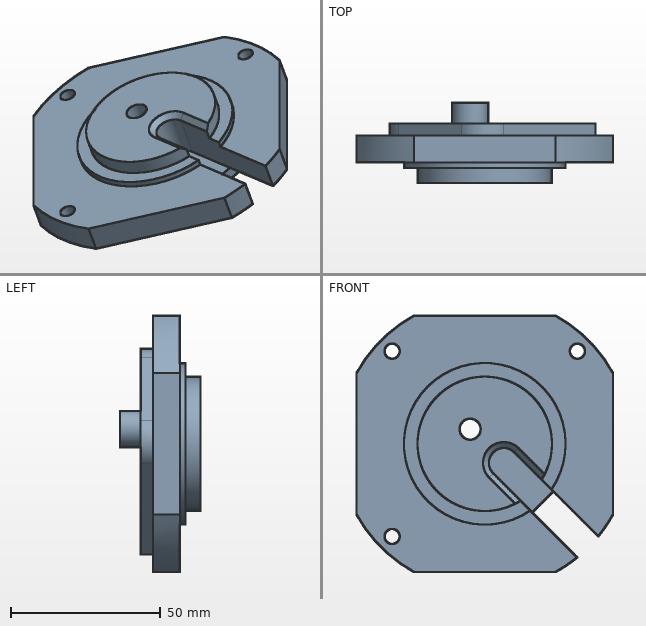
import cadquery as cq
import math

hub_height = 5.0
step_height = 2.0
plate_thickness = 9.0
block_thickness = 4.0
pin_length = 7.0

plate_side = 86
corner_radius = 49.1
screw_hole_diameter = 5.0
screw_hole_offset = 31.05

step_radius = 27.1
hub_radius = 22.5

slot_width = 10.0
slot_center = 9.0
slot_chamfer = 2.0
chamfer_angle = 45

block_width = 50.0
block_rear = 26.0
block_front = 27.5
block_fillet = 10.0

pin_diameter = 12.2
bore_diameter = 7.0
pin_offset = 4.9

hub_face = -(step_height + hub_height)
block_face = plate_thickness + block_thickness
pin_end = block_face + pin_length


def plane_at(y):
    """Work plane facing -Y: local x is X, local y is Z."""
    return cq.Workplane("XZ", origin=(0, y, 0))


def diagonal_plane_at(y):
    """Work plane facing -Y with local x along the slot."""
    half_root = math.sqrt(0.5)
    return cq.Workplane(cq.Plane((0, y, 0), (half_root, 0, -half_root), (0, -1, 0)))


def disc(radius, front, back, x=0, z=0):
    return plane_at(back).center(x, z).circle(radius).extrude(back - front)


def make_plate():
    square = plane_at(plate_thickness).rect(plate_side, plate_side).extrude(plate_thickness)
    return square.intersect(disc(corner_radius, 0, plate_thickness))


def make_slot():
    """Open, round-ended slot with a 45 degree chamfer at the hub face."""
    run_out = plate_side
    radius = slot_width / 2

    def prism(y, depth, taper=0):
        outline = (
            diagonal_plane_at(y)
            .moveTo(run_out, radius)
            .lineTo(slot_center, radius)
            .threePointArc((slot_center - radius, 0), (slot_center, -radius))
            .lineTo(run_out, -radius)
            .close()
        )
        return outline.extrude(depth, taper=taper)

    straight = prism(plate_thickness, plate_thickness - hub_face)
    chamfer = prism(hub_face + slot_chamfer, slot_chamfer, taper=-chamfer_angle)
    return straight.union(chamfer)


def make_block():
    """Rectangle whose two corners away from the slot mouth are rounded."""
    length = block_rear + block_front
    block = (
        diagonal_plane_at(block_face)
        .center((block_front - block_rear) / 2, 0)
        .rect(length, block_width)
        .extrude(block_thickness)
    )
    rear_face = cq.selectors.DirectionMinMaxSelector(cq.Vector(-1, 0, 1))
    return block.faces(rear_face).edges("|Y").fillet(block_fillet)


body = make_plate()
body = body.union(disc(step_radius, -step_height, 0))
body = body.union(disc(hub_radius, hub_face, -step_height))
body = body.cut(make_slot())
body = body.union(make_block())
body = body.union(disc(pin_diameter / 2, block_face, pin_end, -pin_offset, pin_offset))
body = body.cut(disc(bore_diameter / 2, hub_face, pin_end, -pin_offset, pin_offset))

for x_side, z_side in ((-1, 1), (1, 1), (-1, -1)):
    x = x_side * screw_hole_offset
    z = z_side * screw_hole_offset
    body = body.cut(disc(screw_hole_diameter / 2, 0, plate_thickness, x, z))

result = body